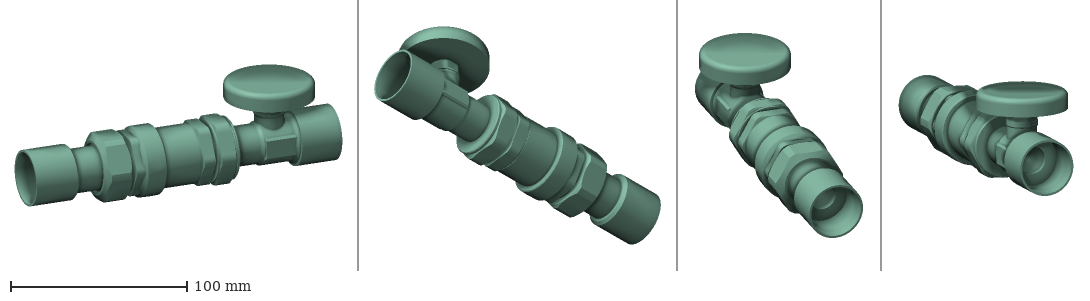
import cadquery as cq
import math

total_length = 188.8

socket_diameter = 32.5
socket_bore = 30.0
socket_bore_depth = 22.7
plain_socket_length = 25.3
gauge_socket_length = 24.7
drill_diameter = 15.9
drill_depth = 3.8
drill_tip_height = 6.6
tail_radius = 12.8
shoulder_radius = 14.5

nut_across_flats = 37.2
nut_length = 16.2
plain_nut_corner_radius = 20.4
plain_nut_back_radius = 18.7
plain_nut_back_chamfer = 1.3
plain_nut_nose_radius = 15.9
plain_nut_nose_length = 2.8
nut_recess_diameter = 28.7
nut_recess_depth = 1.9
recess_foot_chamfer = 0.8
gauge_nut_length = 13.8
gauge_nut_corner_fillet = 6.8
gauge_nut_crest_radius = 20.8
gauge_nut_flange_radius = 18.5
gauge_nut_groove_radius = 18.0

barrel_diameter = 35.0
relief_radius = 17.2
relief_width = 1.3
valve_hex_across_flats = 34.7
valve_neck_radius = 15.3
valve_hex_corner_fillet = 5.5
valve_hex_crest_radius = 19.3
ring_radius = 20.8
ring_edge_radius = 20.5

plain_nut_front = 41.7
plain_nut_back = plain_nut_front + nut_length
valve_front = plain_nut_back
front_hex_start = 60.5
ring_front = 67.0
ring_back = 78.7
rear_hex_start = 102.7
rear_hex_end = 109.3
gauge_nut_front = 111.2
valve_back = gauge_nut_front
gauge_nut_back = gauge_nut_front + gauge_nut_length

outlet_radius = 11.7
outlet_groove_radius = 11.3
outlet_groove_width = 1.0
tee_front = 140.5
tee_front_chamfer = 2.0
tee_back = 161.5
tee_shoulder_width = 1.0
tee_socket_start = total_length - gauge_socket_length
pad_half_width = 13.0
pad_half_height = 6.5
pad_chamfer = 1.1
pad_front = 142.5
pad_back = 163.0

gauge_y = 150.5
boss_diameter = 17.2
boss_foot_fillet = 1.0
collar_diameter = 18.1
collar_height = 1.1
collar_cone_height = 0.8
collar_groove_diameter = 17.0
collar_groove_height = 0.5
gauge_seat_z = 18.9
gauge_hex_across_flats = 15.9
gauge_hex_corner_fillet = 2.3
gauge_hex_top_z = 26.6
gauge_hex_top_radius = 8.3
gauge_hex_top_chamfer = 1.0
gauge_neck_diameter = 15.0
dial_diameter = 52.3
dial_bottom_z = 27.4
dial_top_z = 37.8
dial_edge_fillet = 3.2


def turned(points):
    """Solid of revolution about the flow axis from (radius, y) points."""
    return cq.Workplane("XY").polyline(points).close().revolve(360, (0, 0, 0), (0, 1, 0))


def hex_bar(across_flats, y_start, y_end):
    """Hexagonal bar on the flow axis with flats facing up and down."""
    corner_diameter = across_flats / math.cos(math.pi / 6)
    bar = cq.Workplane("XZ", origin=(0, y_start, 0)).polygon(6, corner_diameter)
    return bar.extrude(y_start - y_end)


def socket_cavity(y_mouth, inward):
    """Socket bore with a drilled blind hole in its floor; inward is +1 or -1 along Y."""
    y_floor = y_mouth + inward * socket_bore_depth
    y_drill = y_floor + inward * drill_depth
    y_tip = y_drill + inward * drill_tip_height
    return turned([
        (0, y_mouth),
        (socket_bore / 2, y_mouth),
        (socket_bore / 2, y_floor),
        (drill_diameter / 2, y_floor),
        (drill_diameter / 2, y_drill),
        (0, y_tip),
    ])


def plain_nut():
    """Union nut with a conical nose and an annular recess around the tail."""
    blank = hex_bar(nut_across_flats, plain_nut_front, plain_nut_back)
    envelope = turned([
        (0, plain_nut_front),
        (plain_nut_nose_radius, plain_nut_front),
        (plain_nut_corner_radius, plain_nut_front + plain_nut_nose_length),
        (plain_nut_corner_radius, plain_nut_back - plain_nut_back_chamfer),
        (plain_nut_back_radius, plain_nut_back),
        (0, plain_nut_back),
    ])
    recess_floor = plain_nut_front + nut_recess_depth
    recess = turned([
        (tail_radius, plain_nut_front),
        (nut_recess_diameter / 2, plain_nut_front),
        (nut_recess_diameter / 2, recess_floor),
        (tail_radius + recess_foot_chamfer, recess_floor),
        (tail_radius, recess_floor - recess_foot_chamfer),
    ])
    return blank.intersect(envelope).cut(recess)


def make_plain_fitting():
    """Sweat tailpiece with its union nut."""
    shoulder_end = plain_socket_length + socket_diameter / 2 - shoulder_radius
    tail = turned([
        (0, 0),
        (socket_diameter / 2, 0),
        (socket_diameter / 2, plain_socket_length),
        (shoulder_radius, shoulder_end),
        (tail_radius, shoulder_end),
        (tail_radius, plain_nut_back),
        (0, plain_nut_back),
    ])
    return tail.union(plain_nut()).cut(socket_cavity(0, 1))


def valve_hex(y_start, y_end):
    """Wrench hexagon of the valve body with rounded corners."""
    return hex_bar(valve_hex_across_flats, y_start, y_end).edges("|Y").fillet(valve_hex_corner_fillet)


def make_valve():
    """Valve body: barrel with a setting ring, two wrench hexagons and two necks."""
    barrel_radius = barrel_diameter / 2
    neck_run = 0.8
    core_radius = valve_hex_across_flats / 2 - neck_run
    ring_chamfer = 0.5
    ring_cone_radius = 18.0
    ring_cone_length = 2.0
    hex_run_out = 0.8
    barrel_front = ring_back + relief_width
    rear_run_out = rear_hex_start - hex_run_out
    barrel_back = rear_run_out - relief_width
    barrel = turned([
        (0, valve_front),
        (valve_neck_radius, valve_front),
        (valve_neck_radius, front_hex_start - neck_run),
        (core_radius, front_hex_start),
        (core_radius, ring_front),
        (relief_radius, ring_front),
        (relief_radius, barrel_front),
        (barrel_radius, barrel_front),
        (barrel_radius, barrel_back),
        (relief_radius, barrel_back),
        (relief_radius, rear_run_out),
        (core_radius, rear_run_out),
        (core_radius, rear_hex_end),
        (valve_neck_radius, rear_hex_end + neck_run),
        (valve_neck_radius, valve_back),
        (0, valve_back),
    ])
    ring_middle = (ring_radius, (ring_front + ring_back) / 2)
    ring = (
        cq.Workplane("XY")
        .moveTo(0, ring_front - ring_cone_length)
        .lineTo(ring_cone_radius, ring_front - ring_cone_length)
        .lineTo(ring_edge_radius, ring_front)
        .threePointArc(ring_middle, (ring_edge_radius, ring_back - ring_chamfer))
        .lineTo(ring_edge_radius - ring_chamfer, ring_back)
        .lineTo(0, ring_back)
        .close()
        .revolve(360, (0, 0, 0), (0, 1, 0))
    )
    rear_envelope = turned([
        (0, rear_run_out),
        (relief_radius, rear_run_out),
        (valve_hex_crest_radius, rear_hex_start),
        (valve_hex_crest_radius, rear_hex_end),
        (0, rear_hex_end),
    ])
    rear_hex = valve_hex(rear_run_out, rear_hex_end).intersect(rear_envelope)
    front_hex = valve_hex(front_hex_start, ring_front)
    return barrel.union(ring).union(front_hex).union(rear_hex)


def gauge_nut():
    """Union nut with round flanges at both ends of a rounded hexagon."""
    blank = hex_bar(nut_across_flats, gauge_nut_front, gauge_nut_back)
    blank = blank.edges("|Y").fillet(gauge_nut_corner_fillet)
    flange_width = 1.1
    front_run = 0.8
    groove_width = 1.0
    back_flange_width = 1.5
    groove_end = gauge_nut_back - back_flange_width
    groove_start = groove_end - groove_width
    back_run = 1.3
    edge_chamfer = gauge_nut_flange_radius - gauge_nut_groove_radius
    envelope = turned([
        (0, gauge_nut_front),
        (gauge_nut_flange_radius, gauge_nut_front),
        (gauge_nut_flange_radius, gauge_nut_front + flange_width),
        (gauge_nut_crest_radius, gauge_nut_front + flange_width + front_run),
        (gauge_nut_crest_radius, groove_start - back_run),
        (gauge_nut_groove_radius, groove_start),
        (gauge_nut_groove_radius, groove_end),
        (gauge_nut_flange_radius, groove_end),
        (gauge_nut_flange_radius, gauge_nut_back - edge_chamfer),
        (gauge_nut_groove_radius, gauge_nut_back),
        (0, gauge_nut_back),
    ])
    return blank.intersect(envelope)


def add_gauge_boss(pipe, boss_top):
    """Pipe with an upright round boss up to the height boss_top, filleted at its foot."""
    boss_radius = boss_diameter / 2
    margin = 0.2
    foot_edges = cq.selectors.BoxSelector(
        (-boss_radius - margin, gauge_y - boss_radius - margin, tail_radius / 2),
        (boss_radius + margin, gauge_y + boss_radius + margin, tail_radius + margin),
    )
    post = cq.Workplane("XY", origin=(0, gauge_y, 0)).circle(boss_radius).extrude(boss_top)
    return pipe.union(post).edges(foot_edges).edges("%BSPLINE").fillet(boss_foot_fillet)


def tee_pads():
    """Bar through the tee that leaves a bevelled flat pad on each side."""
    pad_length = pad_back - pad_front
    bar = cq.Workplane("XY").box(2 * pad_half_width, pad_length, 2 * pad_half_height)
    bar = bar.faces("<X or >X").chamfer(pad_chamfer)
    return bar.translate((0, (pad_front + pad_back) / 2, 0))


def make_gauge_fitting():
    """Sweat tailpiece with its union nut and the boss for the gauge."""
    pipe = turned([
        (0, gauge_nut_back),
        (outlet_groove_radius, gauge_nut_back),
        (outlet_groove_radius, gauge_nut_back + outlet_groove_width),
        (outlet_radius, gauge_nut_back + outlet_groove_width),
        (outlet_radius, tee_front),
        (tail_radius, tee_front + tee_front_chamfer),
        (tail_radius, tee_back),
        (shoulder_radius, tee_socket_start - tee_shoulder_width),
        (shoulder_radius, tee_socket_start),
        (socket_diameter / 2, tee_socket_start),
        (socket_diameter / 2, total_length),
        (0, total_length),
    ])
    boss_collar_bottom = gauge_seat_z - collar_height
    boss_top = boss_collar_bottom - collar_cone_height
    boss_axis = cq.Workplane("XY", origin=(0, gauge_y, 0))
    cone = (
        boss_axis.workplane(offset=boss_top)
        .circle(boss_diameter / 2)
        .workplane(offset=collar_cone_height)
        .circle(collar_diameter / 2)
        .loft()
    )
    collar = (
        boss_axis.workplane(offset=boss_collar_bottom)
        .circle(collar_diameter / 2)
        .extrude(collar_height)
    )
    fitting = add_gauge_boss(pipe, boss_top).union(cone).union(collar).union(tee_pads()).union(gauge_nut())
    return fitting.cut(socket_cavity(total_length, -1))


def make_gauge():
    """Dial gauge with a groove, a collar, a hexagon and a neck below the dial."""
    base = cq.Workplane("XY", origin=(0, gauge_y, gauge_seat_z))
    groove = base.circle(collar_groove_diameter / 2).extrude(collar_groove_height)
    collar_base = base.workplane(offset=collar_groove_height)
    collar = collar_base.circle(collar_diameter / 2).extrude(collar_height)
    hex_height = gauge_hex_top_z - gauge_seat_z - collar_groove_height
    half_side_angle = 30
    hexagon = (
        collar_base.transformed(rotate=(0, 0, half_side_angle))
        .polygon(6, gauge_hex_across_flats / math.cos(math.pi / 6))
        .extrude(hex_height)
        .edges("|Z")
        .fillet(gauge_hex_corner_fillet)
    )
    hex_envelope = (
        collar_base.circle(gauge_hex_top_radius + gauge_hex_top_chamfer)
        .extrude(hex_height)
        .faces(">Z")
        .chamfer(gauge_hex_top_chamfer)
    )
    neck = base.circle(gauge_neck_diameter / 2).extrude(dial_bottom_z - gauge_seat_z)
    dial = (
        cq.Workplane("XY", origin=(0, gauge_y, dial_bottom_z))
        .circle(dial_diameter / 2)
        .extrude(dial_top_z - dial_bottom_z)
        .faces(">Z")
        .edges()
        .fillet(dial_edge_fillet)
    )
    return groove.union(collar).union(hexagon.intersect(hex_envelope)).union(neck).union(dial)


plain_fitting = make_plain_fitting()
valve = make_valve()
gauge_fitting = make_gauge_fitting()
gauge = make_gauge()

result = cq.Compound.makeCompound([
    plain_fitting.val(),
    valve.val(),
    gauge_fitting.val(),
    gauge.val(),
])